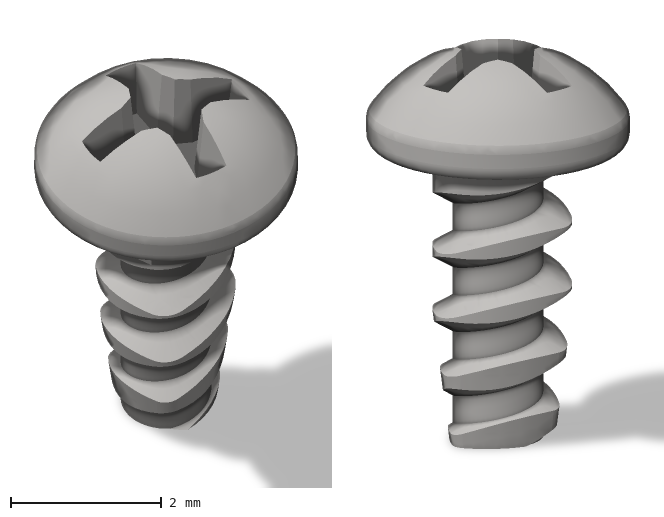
import cadquery as cq
import math

head_radius = 1.75
dome_radius = 2.1
dome_height = 1.396
rim_fillet = 0.2

recess_floor = 0.25
recess_draft = 4.75
arm_half_width = 0.17
arm_root_distance = 0.516
inner_corner_offset = 0.273
arm_end_radius = 1.045
arm_end_slope = 0.18

shank_length = 4.0
lobe_distance = 0.58
lobe_radius = 0.426
taper_start = 2.2
tip_inset = 0.226

thread_pitch = 0.8875
core_radius = 0.603
groove_start_depth = 0.30
groove_start_angle = -42.7
groove_root_width = 0.38
flank_angle = 30.0
groove_outer_radius = 1.03


def polar(radius, degrees):
    angle = math.radians(degrees)
    return (radius * math.cos(angle), radius * math.sin(angle))


def make_recess():
    arm_reach = 2 * arm_end_radius
    quarter = [
        (arm_reach, arm_half_width),
        (arm_root_distance, arm_half_width),
        (inner_corner_offset, inner_corner_offset),
        (arm_half_width, arm_root_distance),
        (arm_half_width, arm_reach),
    ]
    outline = []
    for quarter_turns in range(4):
        for x, y in quarter:
            for _ in range(quarter_turns):
                x, y = -y, x
            outline.append((x, y))
    depth = dome_height - recess_floor
    cross = (
        cq.Workplane("XY")
        .workplane(offset=recess_floor)
        .polyline(outline)
        .close()
        .extrude(depth, taper=-recess_draft)
    )
    end_cone = cq.Workplane(
        cq.Solid.makeCone(
            arm_end_radius,
            arm_end_radius + arm_end_slope * depth,
            depth,
            pnt=cq.Vector(0, 0, recess_floor),
        )
    )
    return cross.intersect(end_cone)


def make_head():
    dome_centre = dome_height - dome_radius
    edge_height = dome_centre + math.sqrt(dome_radius**2 - head_radius**2)
    mid_radius = head_radius / 2
    mid_height = dome_centre + math.sqrt(dome_radius**2 - mid_radius**2)
    blank = (
        cq.Workplane("XZ")
        .moveTo(0, 0)
        .lineTo(head_radius, 0)
        .lineTo(head_radius, edge_height)
        .threePointArc((mid_radius, mid_height), (0, dome_height))
        .close()
        .revolve(360, (0, 0, 0), (0, 1, 0))
    )
    rounded = blank.faces("%CYLINDER").edges("%CIRCLE").fillet(rim_fillet)
    return rounded.cut(make_recess())


def lobed_outline(depth, inset):
    """Rounded triangle of constant width, with its lobes at 90, 210 and 330 degrees."""
    tip_radius = lobe_radius - inset
    side_radius = tip_radius + lobe_distance * math.sqrt(3)

    def lobe_point(lobe_angle, turn):
        cx, cy = polar(lobe_distance, lobe_angle)
        dx, dy = polar(tip_radius, lobe_angle + turn)
        return (cx + dx, cy + dy)

    first_lobe, half_arc, lobe_step = 90, 30, 120
    outline = cq.Workplane("XY").workplane(offset=-depth)
    outline = outline.moveTo(*lobe_point(first_lobe, -half_arc))
    for lobe_angle in range(first_lobe, first_lobe + 360, lobe_step):
        lobe_tip = lobe_point(lobe_angle, 0)
        lobe_end = lobe_point(lobe_angle, half_arc)
        side_mid = polar(side_radius - lobe_distance, lobe_angle + lobe_step / 2)
        side_end = lobe_point(lobe_angle + lobe_step, -half_arc)
        outline = outline.threePointArc(lobe_tip, lobe_end).threePointArc(side_mid, side_end)
    return outline.close().wire().val()


def make_shank_blank():
    full = lobed_outline(0, 0)
    taper_top = lobed_outline(taper_start, 0)
    tip = lobed_outline(shank_length, tip_inset)
    upper = cq.Solid.makeLoft([full, taper_top], True)
    lower = cq.Solid.makeLoft([taper_top, tip], True)
    core = cq.Workplane("XY").circle(core_radius).extrude(-shank_length)
    return cq.Workplane(upper).union(cq.Workplane(lower)).union(core)


def make_thread_groove():
    half_root = groove_root_width / 2
    flank_rise = (groove_outer_radius - core_radius) * math.tan(math.radians(flank_angle))
    half_mouth = half_root + flank_rise
    run = shank_length - groove_start_depth + thread_pitch
    path = cq.Wire.makeHelix(thread_pitch, run, core_radius)
    groove = (
        cq.Workplane("XZ")
        .polyline([
            (core_radius, -half_root),
            (groove_outer_radius, -half_mouth),
            (groove_outer_radius, half_mouth),
            (core_radius, half_root),
        ])
        .close()
        .sweep(cq.Workplane(path), isFrenet=True)
    )
    end_angle = 360 * run / thread_pitch
    return (
        groove.rotate((0, 0, 0), (0, 0, 1), groove_start_angle - end_angle)
        .translate((0, 0, -groove_start_depth - run))
    )


head = make_head()
shank = make_shank_blank().cut(make_thread_groove())

result = cq.Compound.makeCompound([head.solids().val(), shank.solids().val()])